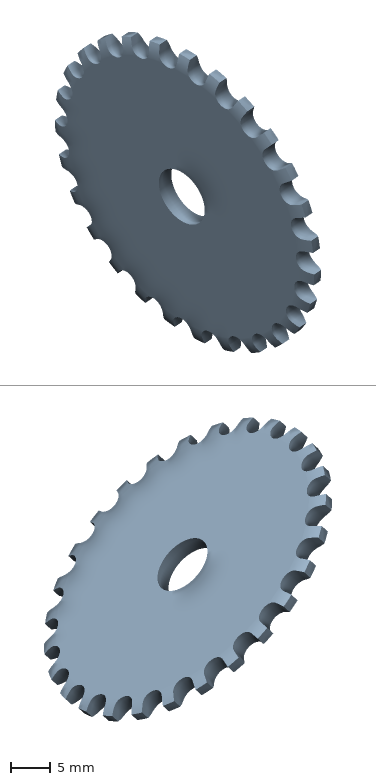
import cadquery as cq
import math

tooth_count = 27
tip_radius = 22.6
thickness = 2.3
bore_diameter = 8.0
flat_face_radius = 20.25
tip_width = 1.25
root_radius = 19.95
roller_radius = 1.6

tooth_angle = 360 / tooth_count
half_angle = math.radians(tooth_angle / 2)
pitch_radius = root_radius + roller_radius
half_thickness = thickness / 2
half_tip = tip_width / 2

rim_arc_length = tip_radius - flat_face_radius
rim_arc_drop = half_thickness - half_tip
rim_arc_radius = (rim_arc_length**2 + rim_arc_drop**2) / (2 * rim_arc_drop)
rim_arc_half_sweep = math.asin(rim_arc_length / rim_arc_radius) / 2
rim_arc_middle_radius = flat_face_radius + rim_arc_radius * math.sin(rim_arc_half_sweep)
rim_arc_middle_offset = half_thickness - rim_arc_radius * (1 - math.cos(rim_arc_half_sweep))


def make_blank():
    """Toothless disc whose rim narrows in arcs tangent to the flat side faces."""
    return (
        cq.Workplane("XY")
        .moveTo(0, half_thickness)
        .lineTo(flat_face_radius, half_thickness)
        .threePointArc((rim_arc_middle_radius, rim_arc_middle_offset), (tip_radius, half_tip))
        .lineTo(tip_radius, -half_tip)
        .threePointArc(
            (rim_arc_middle_radius, -rim_arc_middle_offset), (flat_face_radius, -half_thickness)
        )
        .lineTo(0, -half_thickness)
        .close()
        .revolve(360, (0, 0, 0), (0, 1, 0))
    )


def make_gap_cutter():
    """Space between two teeth: a round seat with flanks parallel to the tooth centrelines."""
    seat_x = roller_radius * math.cos(half_angle)
    seat_z = pitch_radius - roller_radius * math.sin(half_angle)
    flank_length = 2 * (tip_radius - pitch_radius) + roller_radius
    outer_x = seat_x + flank_length * math.sin(half_angle)
    outer_z = seat_z + flank_length * math.cos(half_angle)
    return (
        cq.Workplane("XZ", origin=(0, half_thickness, 0))
        .moveTo(-outer_x, outer_z)
        .lineTo(-seat_x, seat_z)
        .threePointArc((0, root_radius), (seat_x, seat_z))
        .lineTo(outer_x, outer_z)
        .close()
        .extrude(thickness)
    )


sprocket = make_blank()

gap_cutter = make_gap_cutter()
for index in range(tooth_count):
    gap_angle = (index + 0.5) * tooth_angle
    sprocket = sprocket.cut(gap_cutter.rotate((0, 0, 0), (0, 1, 0), gap_angle))

bore = (
    cq.Workplane("XZ", origin=(0, half_thickness, 0))
    .circle(bore_diameter / 2)
    .extrude(thickness)
)
result = sprocket.cut(bore)